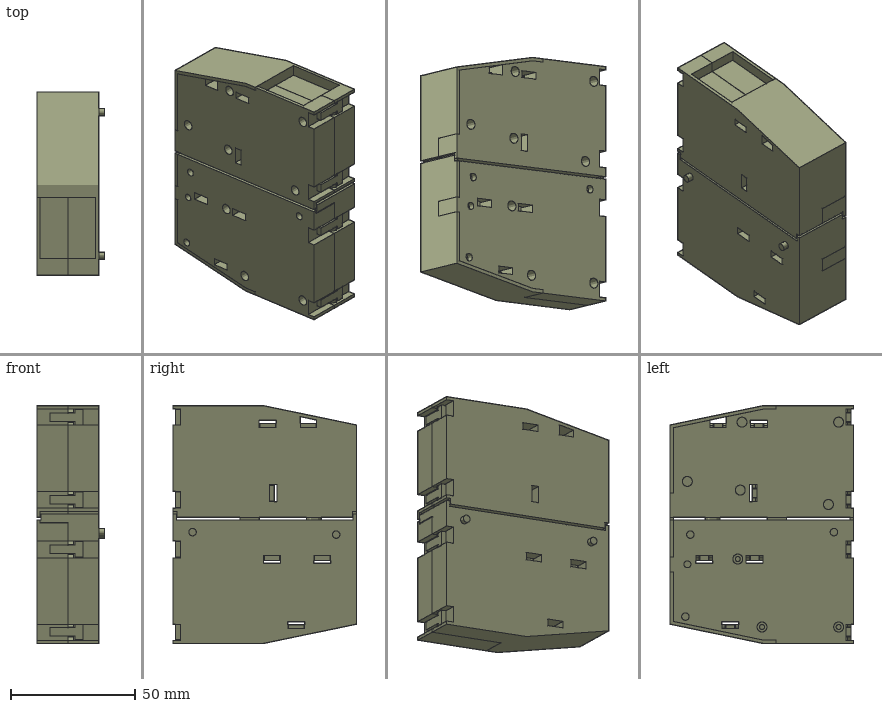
import cadquery as cq
import math

HALF_WIDTH = 12.5
FRONT_Y = -37.0
BACK_Y = 37.0
TOP_Z = 48.0
KNEE_Y = -0.6
SLOPE_DROP = 7.8
CORNER_Z = TOP_Z - SLOPE_DROP
SLOPE = math.atan2(SLOPE_DROP, BACK_Y - KNEE_Y)

RIM = 1.4
RIM_END_Y = -5.7
INNER_BACK_Y = BACK_Y - RIM
INNER_TOP_Z = TOP_Z - RIM
INNER_KNEE_Y = KNEE_Y - RIM * math.tan(SLOPE / 2)
INNER_CORNER_Z = CORNER_Z + RIM * math.tan(SLOPE) - RIM / math.cos(SLOPE)
UPPER_RIM_LOW_Z = 12.8
LOWER_RIM_BREAK = (-19.1, -13.05)

LOWER_TOP_Z = 1.9
UPPER_LOW_Z = 2.9
LIP_TOP_Z = 4.27
LIP_THICKNESS = 1.5
LIP_LEFT_X = -10.8
REBATE_TOP_Z = 5.3
REBATE_DEPTH = 1.7
FACE_WALL_X = -HALF_WIDTH + RIM
TONGUE_LOW_Z = 0.88
TONGUE_CLEARANCE = 0.3
SPACER_X = HALF_WIDTH / 2
SPACER_PEG_Y = 19.8
SPACER_PEG_DIAMETER = 6.0
SPACER_BLOCK_Y = -6.1
SPACER_BLOCK_LENGTH = 7.8
SPACER_BLOCK_WIDTH = 4.0

POCKET_BACK_Y = RIM_END_Y
POCKET_FRONT_Y = -30.2
POCKET_DEPTH = 4.4
POCKET_HALF_WIDTH = HALF_WIDTH - RIM

LATCH_HALF_SPAN = 3.4
END_HALF_SPAN = 3.05
SLOPED_HALF_SPAN = 3.2
LATCH_DEPTH = 3.05
SHALLOW_DEPTH = 2.75
OPEN_DEPTH = 8.0
ARM_GAP = 1.0
ARM_HALF_WIDTH = 1.73
ARM_TIP_X = -7.1
EAR_START_X = 3.0
EAR_END_X = 6.1
LATCH_CLEARANCE = 0.3
RAMP_END_X = 2.4
RAMP_FOOT = 0.65

END_LATCH_Z = 43.25
MIDDLE_LATCH_Z = 10.0
LATCH_FLOOR_Y = FRONT_Y + LATCH_DEPTH

UP, DOWN, BACK, FRONT = 0, 180, -90, 90

FULL_ARM = LATCH_DEPTH - ARM_GAP
SHALLOW_ARM = 1.6
UPPER_LATCHES = [
    (LATCH_FLOOR_Y, END_LATCH_Z, FRONT, LATCH_DEPTH, FULL_ARM, END_HALF_SPAN, LATCH_HALF_SPAN),
    (LATCH_FLOOR_Y, MIDDLE_LATCH_Z, FRONT, LATCH_DEPTH, FULL_ARM, LATCH_HALF_SPAN, LATCH_HALF_SPAN),
    (17.6, 39.24, UP, OPEN_DEPTH, SHALLOW_ARM, SLOPED_HALF_SPAN, SLOPED_HALF_SPAN),
    (1.17, 39.24, UP, SHALLOW_DEPTH, SHALLOW_ARM, LATCH_HALF_SPAN, LATCH_HALF_SPAN),
    (1.88, 12.7, BACK, LATCH_DEPTH, FULL_ARM, LATCH_HALF_SPAN, LATCH_HALF_SPAN),
]
LOWER_LATCHES = [
    (LATCH_FLOOR_Y, -MIDDLE_LATCH_Z, FRONT, LATCH_DEPTH, FULL_ARM, LATCH_HALF_SPAN, LATCH_HALF_SPAN),
    (LATCH_FLOOR_Y, -END_LATCH_Z, FRONT, LATCH_DEPTH, FULL_ARM, LATCH_HALF_SPAN, END_HALF_SPAN),
    (23.2, -12.5, DOWN, LATCH_DEPTH, FULL_ARM, LATCH_HALF_SPAN, LATCH_HALF_SPAN),
    (2.9, -12.5, DOWN, LATCH_DEPTH, FULL_ARM, LATCH_HALF_SPAN, LATCH_HALF_SPAN),
    (12.7, -41.95, UP, SHALLOW_DEPTH, SHALLOW_ARM, LATCH_HALF_SPAN, LATCH_HALF_SPAN),
]

SCREW_DIAMETER = 4.0
PILOT_DIAMETER = 2.0
PILOT_DEPTH = 6.0
UPPER_SCREWS = [(7.97, 41.3), (-31.0, 41.3), (30.0, 17.4), (8.65, 13.9), (-26.9, 8.1)]
LOWER_SCREWS = [(9.66, -13.9), (-0.1, -41.3), (-31.0, -41.3)]
PIN_DIAMETER = 3.0
PIN_LENGTH = 2.4
SOCKET_DEPTH = 3.0
SMALL_SOCKET_DIAMETER = 2.8
PINS = [(28.8, -4.05), (-29.1, -3.05)]
PLAIN_SOCKETS = PINS + [(30.8, -37.1)]
SMALL_SOCKETS = [(30.0, -16.0)]


def block(x_range, y_range, z_range):
    """Box between the given limits."""
    size = [high - low for low, high in (x_range, y_range, z_range)]
    corner = cq.Vector(x_range[0], y_range[0], z_range[0])
    return cq.Workplane(cq.Solid.makeBox(*size, corner))


def plate(points, x_start, x_end):
    """Outline of (Y, Z) points extruded along X."""
    return cq.Workplane("YZ", origin=(x_start, 0, 0)).polyline(points).close().extrude(x_end - x_start)


def rods(centres, diameter, x_start, x_end):
    """Round bars along X at the given (Y, Z) centres."""
    return (
        cq.Workplane("YZ", origin=(x_start, 0, 0))
        .pushPoints(centres)
        .circle(diameter / 2)
        .extrude(x_end - x_start)
    )


def unit_outline(side, joint_z):
    """Full outline of a unit: side is 1 for the upper one and -1 for the lower one."""
    return [
        (FRONT_Y, joint_z),
        (FRONT_Y, side * TOP_Z),
        (KNEE_Y, side * TOP_Z),
        (BACK_Y, side * CORNER_Z),
        (BACK_Y, joint_z),
    ]


def cover_outline(side, joint_z, back_edge):
    """Outline of a cover half inside the rim; back_edge lists the points down the back face."""
    return [
        (FRONT_Y, joint_z),
        (FRONT_Y, side * TOP_Z),
        (RIM_END_Y, side * TOP_Z),
        (RIM_END_Y, side * INNER_TOP_Z),
        (INNER_KNEE_Y, side * INNER_TOP_Z),
        (INNER_BACK_Y, side * INNER_CORNER_Z),
        *back_edge,
    ]


UPPER_OUTLINE = unit_outline(1, UPPER_LOW_Z)
LOWER_OUTLINE = unit_outline(-1, LOWER_TOP_Z)
UPPER_COVER_OUTLINE = cover_outline(
    1,
    UPPER_LOW_Z,
    [(INNER_BACK_Y, UPPER_RIM_LOW_Z), (BACK_Y, UPPER_RIM_LOW_Z), (BACK_Y, UPPER_LOW_Z)],
)
BREAK_LOW_Z, BREAK_HIGH_Z = LOWER_RIM_BREAK
LOWER_COVER_OUTLINE = cover_outline(
    -1,
    LOWER_TOP_Z,
    [
        (INNER_BACK_Y, BREAK_LOW_Z),
        (BACK_Y, BREAK_LOW_Z),
        (BACK_Y, BREAK_HIGH_Z),
        (INNER_BACK_Y, BREAK_HIGH_Z),
        (INNER_BACK_Y, LOWER_TOP_Z),
    ],
)


def place_latch(shape, latch):
    """Move a latch shape, drawn opening toward +Z at the origin, to its place."""
    y, z, direction = latch[:3]
    return shape.rotate((0, 0, 0), (1, 0, 0), direction).translate((0, y, z))


def latch_slot(latch):
    """Slot through the whole width of the unit."""
    depth, span_low, span_high = latch[3], latch[5], latch[6]
    slot = block((-HALF_WIDTH, HALF_WIDTH), (-span_low, span_high), (0, depth))
    return place_latch(slot, latch)


def latch_arm(latch):
    """T-shaped arm that reaches across the seam, with a ramp on each side of it."""
    height, span_low, span_high = latch[4:]
    ear_half_width = LATCH_HALF_SPAN - LATCH_CLEARANCE
    ear_low = min(ear_half_width, span_low)
    ear_high = min(ear_half_width, span_high)
    arm = block((ARM_TIP_X, EAR_END_X), (-ARM_HALF_WIDTH, ARM_HALF_WIDTH), (0, height))
    arm = arm.union(block((EAR_START_X, EAR_END_X), (-ear_low, ear_high), (0, height)))
    ramp_start = ARM_HALF_WIDTH + LATCH_CLEARANCE
    ramp_profile = [(0, 0), (0, RAMP_FOOT), (RAMP_END_X, height), (RAMP_END_X, 0)]
    for start, end in ((-span_low, -ramp_start), (ramp_start, span_high)):
        ramp = cq.Workplane("XZ", origin=(0, start, 0)).polyline(ramp_profile).close().extrude(start - end)
        arm = arm.union(ramp)
    return place_latch(arm, latch)


def label_pocket():
    """Rectangular pocket in the top, shared by both upper halves."""
    return block(
        (-POCKET_HALF_WIDTH, POCKET_HALF_WIDTH),
        (POCKET_FRONT_Y, POCKET_BACK_Y),
        (TOP_Z - POCKET_DEPTH, TOP_Z),
    )


def pocket_end_wall():
    """Wall at the back of the pocket that the upper base carries across the seam, under the rim."""
    return block(
        (-POCKET_HALF_WIDTH, 0),
        (POCKET_BACK_Y, POCKET_BACK_Y + RIM),
        (TOP_Z - POCKET_DEPTH, INNER_TOP_Z),
    )


def joint_rebates():
    """Steps along the front and back lower edges of the upper unit that clear the lips."""
    x_range = (FACE_WALL_X, HALF_WIDTH)
    z_range = (UPPER_LOW_Z, REBATE_TOP_Z)
    front = block(x_range, (FRONT_Y, FRONT_Y + REBATE_DEPTH), z_range)
    return front.union(block(x_range, (BACK_Y - REBATE_DEPTH, BACK_Y), z_range))


def joint_lips():
    """Upright lips along the front and back top edges of the lower base."""
    x_range = (LIP_LEFT_X, HALF_WIDTH)
    z_range = (LOWER_TOP_Z, LIP_TOP_Z)
    front = block(x_range, (FRONT_Y, FRONT_Y + LIP_THICKNESS), z_range)
    back = block(x_range, (BACK_Y - LIP_THICKNESS, BACK_Y), z_range)
    return front, back


def joint_spacers():
    """Round peg and block that keep the two units apart."""
    gap = UPPER_LOW_Z - LOWER_TOP_Z
    peg = (
        cq.Workplane(origin=(SPACER_X, SPACER_PEG_Y, LOWER_TOP_Z))
        .circle(SPACER_PEG_DIAMETER / 2)
        .extrude(gap)
    )
    bar = (
        cq.Workplane(origin=(SPACER_X, SPACER_BLOCK_Y, LOWER_TOP_Z))
        .rect(SPACER_BLOCK_WIDTH, SPACER_BLOCK_LENGTH)
        .extrude(gap)
    )
    return peg, bar


def base_half(outline, cover, latches):
    """Half on the +X side with the rim that frames its cover and the latch arms."""
    rim = plate(outline, -HALF_WIDTH, 0).cut(plate(cover, -HALF_WIDTH, 0))
    body = plate(outline, 0, HALF_WIDTH).union(rim)
    inside = plate(cover, -HALF_WIDTH, HALF_WIDTH)
    for latch in latches:
        body = body.cut(latch_slot(latch).intersect(inside))
        body = body.union(latch_arm(latch))
    return body


def cover_half(cover, latches, screws):
    """Half on the -X side with the latch slots and the screw holes."""
    body = plate(cover, -HALF_WIDTH, 0)
    for latch in latches:
        body = body.cut(latch_slot(latch))
    return body.cut(rods(screws, SCREW_DIAMETER, -HALF_WIDTH, 0))


def make_upper_base():
    body = base_half(UPPER_OUTLINE, UPPER_COVER_OUTLINE, UPPER_LATCHES)
    return body.union(pocket_end_wall()).cut(label_pocket()).cut(joint_rebates())


def make_upper_cover():
    body = cover_half(UPPER_COVER_OUTLINE, UPPER_LATCHES, UPPER_SCREWS)
    return body.cut(pocket_end_wall()).cut(label_pocket()).cut(joint_rebates())


def make_lower_base():
    body = base_half(LOWER_OUTLINE, LOWER_COVER_OUTLINE, LOWER_LATCHES)
    tongue = block((FACE_WALL_X, 0), (FRONT_Y, BACK_Y), (TONGUE_LOW_Z, LOWER_TOP_Z))
    body = body.union(tongue)
    for piece in (*joint_lips(), *joint_spacers()):
        body = body.union(piece)
    body = body.union(rods(PINS, PIN_DIAMETER, HALF_WIDTH, HALF_WIDTH + PIN_LENGTH))
    return body.cut(rods(LOWER_SCREWS, PILOT_DIAMETER, 0, PILOT_DEPTH))


def make_lower_cover():
    body = cover_half(LOWER_COVER_OUTLINE, LOWER_LATCHES, LOWER_SCREWS)
    tongue_recess = block(
        (FACE_WALL_X, 0), (FRONT_Y, BACK_Y), (TONGUE_LOW_Z - TONGUE_CLEARANCE, LOWER_TOP_Z)
    )
    socket_floor_x = -HALF_WIDTH + SOCKET_DEPTH
    body = body.cut(tongue_recess)
    body = body.cut(rods(PLAIN_SOCKETS, PIN_DIAMETER, -HALF_WIDTH, socket_floor_x))
    return body.cut(rods(SMALL_SOCKETS, SMALL_SOCKET_DIAMETER, -HALF_WIDTH, socket_floor_x))


upper_base = make_upper_base().solids()
upper_cover = make_upper_cover().solids()
lower_base = make_lower_base().solids()
lower_cover = make_lower_cover().solids()

result = cq.Compound.makeCompound(
    [upper_base.val(), upper_cover.val(), lower_base.val(), lower_cover.val()]
)